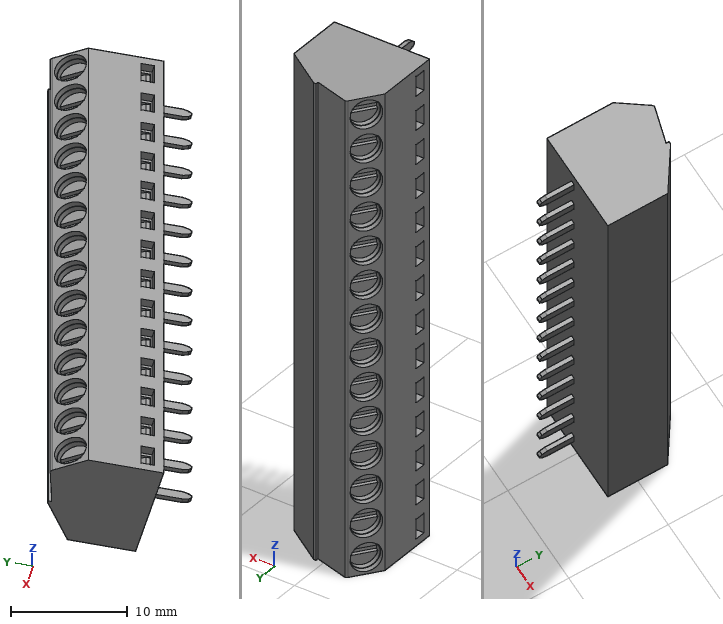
import cadquery as cq

length = 49.0
width = 10.0
depth = 9.5
poles = 14
pitch = length / poles

left_wall_top = 6.65
ridge_bevel_x = 1.95
ridge_bevel_y = 9.35
ridge_x = 2.15
step_x = 5.75
step_low_y = 8.5
step_high_y = 8.75
step_land = 0.25
right_wall_top = 6.05

pin_x = 4.25
pin_thickness = 0.45
pin_height = 0.9
pin_length = 3.5
pin_taper = 0.8
pin_nose = 0.25
pin_nose_height = 0.6
pin_tip_height = 0.2

well_diameter = 2.95
well_rim_depth = 0.55
screw_diameter = 2.85
screw_face_depth = 1.1
screw_slot_width = 0.6
screw_slot_depth = 0.4

window_y = 1.4
window_width = 1.2
window_height = 2.0
window_depth = 0.85
contact_width = 0.9
contact_height = 1.45
contact_land = 0.35
contact_land_depth = 0.15
contact_ramp_depth = 0.3


def make_housing():
    outline = [
        (0, 0),
        (width, 0),
        (width, right_wall_top),
        (step_x + step_land, step_high_y),
        (step_x, step_high_y),
        (step_x, step_low_y),
        (ridge_x, depth),
        (ridge_bevel_x, ridge_bevel_y),
        (0, left_wall_top),
    ]
    return cq.Workplane("XY").polyline(outline).close().extrude(length)


def make_pin(z):
    lower_edge = [
        (0, -pin_height / 2),
        (pin_taper - pin_length, -pin_height / 2),
        (pin_nose - pin_length, -pin_nose_height / 2),
        (-pin_length, -pin_tip_height / 2),
    ]
    upper_edge = [(y, -height) for y, height in reversed(lower_edge)]
    outline = lower_edge + upper_edge
    blade = cq.Workplane("YZ").polyline(outline).close().extrude(pin_thickness)
    return blade.translate((pin_x - pin_thickness / 2, 0, z))


def make_screw_well(z):
    rise = ridge_bevel_y - left_wall_top
    middle = (ridge_bevel_x / 2, left_wall_top + rise / 2, z)
    face = cq.Plane(origin=middle, xDir=(ridge_bevel_x, rise, 0), normal=(-rise, ridge_bevel_x, 0))
    rim = cq.Workplane(face).workplane(offset=-well_rim_depth)
    rim = rim.circle(well_diameter / 2).extrude(2 * well_rim_depth)
    shaft = cq.Workplane(face).circle(screw_diameter / 2).extrude(-screw_face_depth)
    slot_bottom = screw_face_depth + screw_slot_depth
    bar = cq.Workplane(face).rect(screw_diameter, screw_slot_width).extrude(-slot_bottom)
    bar_limit = cq.Workplane(face).circle(screw_diameter / 2).extrude(-slot_bottom)
    return rim.union(shaft).union(bar.intersect(bar_limit))


def make_window(z):
    recess = cq.Workplane("XY").box(2 * window_depth, window_width, window_height)
    land_x = window_depth + contact_land_depth
    near_y = -contact_width / 2
    far_y = contact_width / 2
    outline = [
        (0, near_y),
        (land_x, near_y),
        (land_x, near_y + contact_land),
        (land_x + contact_ramp_depth, far_y),
        (0, far_y),
    ]
    pocket = cq.Workplane("XY").polyline(outline).close().extrude(contact_height / 2, both=True)
    return recess.union(pocket).translate((0, window_y, z))


result = make_housing()
for pole in range(poles):
    z = (pole + 0.5) * pitch
    result = result.union(make_pin(z))
    result = result.cut(make_screw_well(z))
    result = result.cut(make_window(z))